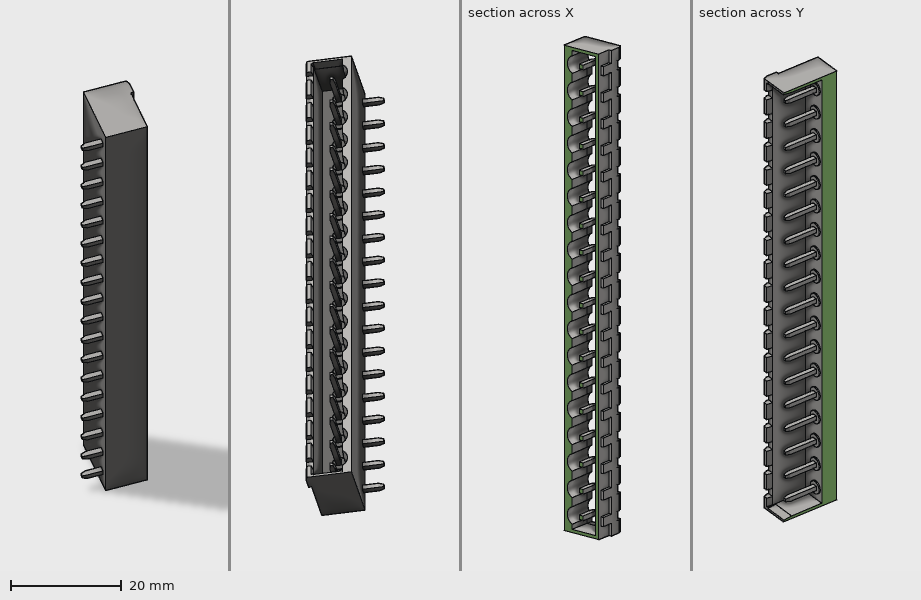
import cadquery as cq


pin_count = 18
length = 93.0
end_margin = 3.35
depth = 12.0
overall_height = 12.5
tail_length = 3.9
pin_pitch = (length - 2 * end_margin) / (pin_count - 1)

mouth_x = -depth / 2
back_x = depth / 2
ridge_y = overall_height / 2
base_y = -overall_height / 2 + tail_length

ridge_rise = 0.6
ridge_length = 3.1
rib_length = 5.4
rib_width = 1.8
lip_length = 0.8
lip_tip_drop = 0.4
notch_width = rib_width
notch_depth = 1.2
roof_y = ridge_y - ridge_rise
lip_x = mouth_x + lip_length

cavity_depth = 8.6
top_wall = 1.3
bottom_wall = 1.9
end_wall = 0.65
cavity_draft = 0.5
flare_width = 0.2
flare_length = 1.8
lip_bevel_width = 0.2
lip_bevel_length = notch_depth
scallop_radius = 1.9
scallop_y = base_y + 2.6
cavity_top_y = ridge_y - top_wall
cavity_bottom_y = base_y + bottom_wall
floor_x = mouth_x + cavity_depth

pin_y = ridge_y - 4.6
tip_length = 0.9
contact_width = 0.9
contact_tip_width = 0.6
contact_recess = 1.5
boss_diameter = 2.6
boss_height = 0.3
tail_x = mouth_x + 10.05
tail_width = 1.1
tail_thickness = 0.9
tail_tip_width = 0.65
tail_tip_thickness = 0.6

pin_heights = [-length / 2 + end_margin + i * pin_pitch for i in range(pin_count)]


def box(x_range, y_range, z_range):
    """Axis-aligned block between the given limits."""
    size = [high - low for low, high in (x_range, y_range, z_range)]
    corner = (x_range[0], y_range[0], z_range[0])
    return cq.Workplane("XY").box(*size, centered=False).translate(corner)


def mouth_plane(y):
    """Plane on the mouth face, local x along Y, facing into the housing."""
    return cq.Plane(origin=(mouth_x, y, 0), xDir=(0, 1, 0), normal=(1, 0, 0))


def repeat_per_pin(shape):
    """Copies of a shape modelled at Z = 0, one at each pin."""
    return [shape.val().translate(cq.Vector(0, 0, z)) for z in pin_heights]


def make_shell():
    """Solid housing with the ridge and its sloped lip along the mouth."""
    profile = [
        (mouth_x, base_y),
        (back_x, base_y),
        (back_x, roof_y),
        (mouth_x + ridge_length, roof_y),
        (mouth_x + ridge_length, ridge_y),
        (lip_x, ridge_y),
        (mouth_x, ridge_y - lip_tip_drop),
    ]
    return cq.Workplane("XY").polyline(profile).close().extrude(length / 2, both=True)


def make_rib():
    """Rib that lengthens the ridge behind a lip notch."""
    half_width = rib_width / 2
    return box((lip_x, mouth_x + rib_length), (cavity_top_y, ridge_y), (-half_width, half_width))


def make_cavity():
    """Drafted plug cavity with a flared mouth and a bevel under the lip."""
    height = cavity_top_y - cavity_bottom_y
    width = length - 2 * end_wall
    cavity = (
        cq.Workplane(mouth_plane((cavity_top_y + cavity_bottom_y) / 2))
        .rect(height, width)
        .extrude(cavity_depth, taper=cavity_draft)
    )
    flare = (
        cq.Workplane(mouth_plane((cavity_top_y + cavity_bottom_y) / 2 - flare_width))
        .rect(height, width + 2 * flare_width)
        .workplane(offset=flare_length)
        .center(flare_width / 2, 0)
        .rect(height - flare_width, width)
        .loft(ruled=True)
    )
    bevel = (
        cq.Workplane("XY")
        .polyline([
            (mouth_x, cavity_bottom_y),
            (mouth_x, cavity_top_y + lip_bevel_width),
            (mouth_x + lip_bevel_length, cavity_top_y),
            (mouth_x + lip_bevel_length, cavity_bottom_y),
        ])
        .close()
        .extrude(width / 2, both=True)
    )
    return cavity.union(flare).union(bevel)


def make_scallop():
    """Round clearance in the lower cavity wall below a contact."""
    outline = cq.Workplane(mouth_plane(scallop_y)).circle(scallop_radius)
    return outline.extrude(cavity_depth, taper=cavity_draft)


def make_notch():
    """Gap through the lip."""
    half_width = notch_width / 2
    return box((mouth_x, mouth_x + notch_depth), (cavity_bottom_y, ridge_y), (-half_width, half_width))


def make_pin_bar(plane, section, tip_section, bar_length):
    """Rectangular bar along the plane normal, ending in a tapered tip."""
    shank_length = bar_length - tip_length
    shank = cq.Workplane(plane).rect(*section).extrude(shank_length)
    tip = (
        cq.Workplane(plane)
        .workplane(offset=shank_length)
        .rect(*section)
        .workplane(offset=tip_length)
        .rect(*tip_section)
        .loft(ruled=True)
    )
    return shank.union(tip)


def make_contact():
    """Boss on the cavity floor with the square contact pointing at the mouth."""
    plane = cq.Plane(origin=(floor_x, pin_y, 0), xDir=(0, 1, 0), normal=(-1, 0, 0))
    boss = cq.Workplane(plane).circle(boss_diameter / 2).extrude(boss_height)
    section = (contact_width, contact_width)
    tip_section = (contact_tip_width, contact_tip_width)
    return boss.union(make_pin_bar(plane, section, tip_section, cavity_depth - contact_recess))


def make_tail():
    """Solder tail leaving the base of the housing."""
    plane = cq.Plane(origin=(tail_x, base_y, 0), xDir=(1, 0, 0), normal=(0, -1, 0))
    section = (tail_width, tail_thickness)
    tip_section = (tail_tip_width, tail_tip_thickness)
    return make_pin_bar(plane, section, tip_section, tail_length)


housing = make_shell().val().fuse(*repeat_per_pin(make_rib()))
openings = [make_cavity().val()] + repeat_per_pin(make_scallop()) + repeat_per_pin(make_notch())
pins = repeat_per_pin(make_contact()) + repeat_per_pin(make_tail())
result = cq.Workplane(housing.cut(*openings).fuse(*pins).clean().Solids()[0])